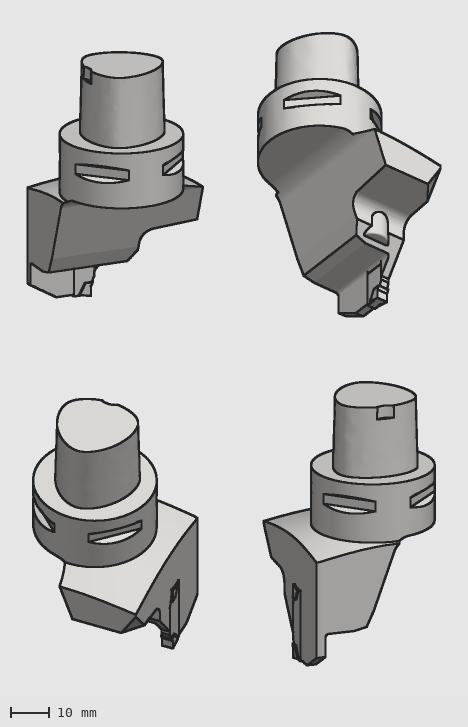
import cadquery as cq
import math


shank_height = 19.0
shank_mean_radius = 11.0
shank_taper = 0.5
shank_lobe = 0.725
shank_curve_points = 36
key_radius = 8.5 / 2
key_depth_z = 3.3
key_inner_y = -9.0

collar_radius = 32.0 / 2
collar_height = 15.9
groove_flat_distance = 14.2
groove_center_z = -6.0
groove_floor_width = 2.6
groove_mouth_width = 4.55
groove_count = 4

head_left = -21.6
head_front = -17.1
head_back = 23.25
roof_angle = 15.0
cone_radius = 41.4
under_collar_z = -15.0
neck_radius = 5.0
flank_end = (-5.85, -33.6)
flank_slope = 70.0
flank_toe = (-7.9, -37.9)
head_floor_z = -38.65
head_floor_right = -11.3
blade_thickness = 2.4
blade_fillet = 0.9
head_bottom = -49.1
corner_chamfer_x = 1.1
corner_chamfer_y = 0.3
back_chamfer_depth = 4.15
back_chamfer_top_z = -20.85
back_chamfer_bottom_y = 17.95
back_floor_z = -27.75
back_floor_inner = (10.6, -28.7)
back_notch_y = 7.6
back_notch_arc_middle = (8.55, -29.8)
back_notch_top_z = -32.1
back_notch_bottom_z = -34.7
back_slope_end_z = -43.5
nose_y = -9.7
nose_front_z = -44.8

boss_radius = 8.5 / 2
boss_x = -13.8
boss_back_y = 8.5
boss_bottom_z = -37.25
boss_fillet = 0.5
boss_height = 13.8

insert_bottom = shank_height - 69.0
insert_top = -30.0
insert_front = -4.7
insert_back = 1.1
insert_tip_y = 0.0
insert_end_relief = 0.4
tip_length = 2.6
tip_shoulder_length = 5.4
cutter_overhang = 0.35
cutter_height = 3.7
cutter_root_y = -1.6
cutter_end_y = -3.25
cutter_relief = 0.7
cutter_back_y = 0.5

FAR = 55.2


def shank_point(mean_radius, angle):
    """Point of a three-lobed curve of constant width, one lobe toward +Y."""
    phase = 3 * (angle - math.pi / 2)
    support = mean_radius + shank_lobe * math.cos(phase)
    slope = -3 * shank_lobe * math.sin(phase)
    x = support * math.cos(angle) - slope * math.sin(angle)
    y = support * math.sin(angle) + slope * math.cos(angle)
    return (x, y)


def shank_points(mean_radius):
    step = 2 * math.pi / shank_curve_points
    return [shank_point(mean_radius, i * step) for i in range(shank_curve_points)]


def make_shank():
    shank = (
        cq.Workplane("XY")
        .spline(shank_points(shank_mean_radius), periodic=True).close()
        .workplane(offset=shank_height)
        .spline(shank_points(shank_mean_radius - shank_taper), periodic=True).close()
        .loft(ruled=True)
    )
    key = (
        cq.Workplane("XY", origin=(0, 0, shank_height - key_depth_z))
        .center(0, key_inner_y - key_radius)
        .circle(key_radius)
        .extrude(key_depth_z)
    )
    return shank.cut(key)


def make_groove(angle):
    """Straight groove with sloping walls, cut across the collar rim at an angle."""
    depth = collar_radius - groove_flat_distance
    wall_slope = (groove_mouth_width - groove_floor_width) / 2 / depth
    reach = 2 * depth
    outer_half = groove_floor_width / 2 + wall_slope * reach
    floor_half = groove_floor_width / 2
    return (
        cq.Workplane("XZ")
        .polyline([
            (groove_flat_distance, groove_center_z - floor_half),
            (groove_flat_distance, groove_center_z + floor_half),
            (groove_flat_distance + reach, groove_center_z + outer_half),
            (groove_flat_distance + reach, groove_center_z - outer_half),
        ])
        .close()
        .extrude(collar_radius, both=True)
        .rotate((0, 0, 0), (0, 0, 1), angle)
    )


def make_collar():
    collar = cq.Workplane("XY").circle(collar_radius).extrude(-collar_height)
    for i in range(groove_count):
        collar = collar.cut(make_groove(45 + i * 360 / groove_count))
    return collar


def make_front_outline():
    """Prism along Y that bounds collar and head: neck, flank, floor and blade."""
    slope = math.radians(flank_slope)
    corner_x = flank_end[0] + (under_collar_z - flank_end[1]) / math.tan(slope)
    tangent = neck_radius * math.tan(slope / 2)
    arc_start = (corner_x + tangent, under_collar_z)
    neck_center = (arc_start[0], under_collar_z - neck_radius)
    middle_angle = math.pi / 2 + slope / 2
    arc_middle = (
        neck_center[0] + neck_radius * math.cos(middle_angle),
        neck_center[1] + neck_radius * math.sin(middle_angle),
    )
    arc_end = (
        corner_x - tangent * math.cos(slope),
        under_collar_z - tangent * math.sin(slope),
    )
    blade_right = head_left + blade_thickness
    return (
        cq.Workplane("XZ")
        .moveTo(head_left, 0)
        .lineTo(collar_radius, 0)
        .lineTo(collar_radius, under_collar_z)
        .lineTo(*arc_start)
        .threePointArc(arc_middle, arc_end)
        .lineTo(*flank_end)
        .lineTo(*flank_toe)
        .lineTo(head_floor_right, head_floor_z)
        .lineTo(blade_right + blade_fillet, head_floor_z)
        .radiusArc((blade_right, head_floor_z - blade_fillet), -blade_fillet)
        .lineTo(blade_right, head_bottom)
        .lineTo(head_left, head_bottom)
        .close()
        .extrude(FAR, both=True)
    )


def make_side_outline():
    """Prism along X with the side outline of the head."""
    return (
        cq.Workplane("YZ", origin=(head_left, 0, 0))
        .moveTo(head_front, -collar_height)
        .lineTo(head_back, -collar_height)
        .lineTo(head_back, back_floor_z)
        .lineTo(*back_floor_inner)
        .threePointArc(back_notch_arc_middle, (back_notch_y, back_notch_top_z))
        .lineTo(back_notch_y, back_notch_bottom_z)
        .lineTo(insert_back, back_slope_end_z)
        .lineTo(insert_front, head_bottom)
        .lineTo(nose_y, head_bottom)
        .lineTo(head_front, nose_front_z)
        .close()
        .extrude(FAR)
    )


def make_plan_outline():
    """Prism along Z: bevelled left corner, and a round front corner at the right."""
    round_radius = -head_front
    return (
        cq.Workplane("XY", origin=(0, 0, insert_bottom))
        .moveTo(head_left, head_back)
        .lineTo(head_left, head_front + corner_chamfer_y)
        .lineTo(head_left + corner_chamfer_x, head_front)
        .lineTo(0, head_front)
        .radiusArc((round_radius, 0), -round_radius)
        .lineTo(round_radius, head_back)
        .close()
        .extrude(-insert_bottom)
    )


def make_roof_cone():
    """Solid under the conical roof that starts at the lower rim of the collar."""
    drop = (cone_radius - collar_radius) * math.tan(math.radians(roof_angle))
    return (
        cq.Workplane("XZ")
        .polyline([
            (0, -collar_height),
            (collar_radius, -collar_height),
            (cone_radius, -collar_height - drop),
            (cone_radius, insert_bottom),
            (0, insert_bottom),
        ])
        .close()
        .revolve(360, (0, 0, 0), (0, 1, 0))
    )


def make_back_chamfer():
    """Wedge that bevels the lower back corner of the left face."""
    edge_y = head_back - back_chamfer_bottom_y
    edge_z = back_chamfer_top_z - back_floor_z
    extra_z = 0.7
    stretch = (edge_z + extra_z) / edge_z
    corner = cq.Vector(head_left, head_back, back_floor_z - extra_z)
    top = cq.Vector(head_left, head_back, back_chamfer_top_z)
    side = corner - cq.Vector(0, edge_y * stretch, 0)
    inner = corner + cq.Vector(back_chamfer_depth * stretch, 0, 0)
    triangles = [
        (corner, top, side),
        (corner, side, inner),
        (corner, inner, top),
        (top, inner, side),
    ]
    faces = [cq.Face.makeFromWires(cq.Wire.makePolygon(t, close=True)) for t in triangles]
    return cq.Workplane(cq.Solid.makeSolid(cq.Shell.makeShell(faces)))


def make_boss():
    return (
        cq.Workplane("XY", origin=(boss_x, boss_back_y - boss_radius, boss_bottom_z))
        .circle(boss_radius)
        .extrude(boss_height)
        .faces("<Z").edges().fillet(boss_fillet)
    )


def make_insert():
    """Double-ended insert: a flush bar with a wider cutter at each end."""
    middle_z = (insert_top + insert_bottom) / 2
    tip_z = insert_top - tip_length
    shoulder_z = insert_top - tip_shoulder_length
    upper_bar = (
        cq.Workplane("YZ", origin=(head_left, 0, 0))
        .polyline([
            (insert_front, middle_z),
            (insert_front, insert_top - insert_end_relief),
            (insert_tip_y, insert_top - insert_end_relief),
            (insert_tip_y, tip_z),
            (insert_back, shoulder_z),
            (insert_back, middle_z),
        ])
        .close()
        .extrude(blade_thickness)
    )
    upper_cutter = (
        cq.Workplane("YZ", origin=(head_left - cutter_overhang, 0, 0))
        .polyline([
            (insert_tip_y, insert_top),
            (cutter_end_y, insert_top - cutter_relief),
            (cutter_root_y, insert_top - cutter_height),
            (cutter_back_y, insert_top - cutter_height),
            (insert_tip_y, tip_z),
        ])
        .close()
        .extrude(blade_thickness + 2 * cutter_overhang)
    )
    upper_half = upper_bar.union(upper_cutter)
    lower_half = upper_half.mirror("XY", (0, 0, middle_z))
    return upper_half.union(lower_half).clean()


def make_holder(insert):
    front_outline = make_front_outline()
    head = make_side_outline().intersect(make_plan_outline())
    head = head.intersect(make_roof_cone())
    head = head.cut(make_back_chamfer()).intersect(front_outline)
    collar = make_collar().intersect(front_outline)
    return head.union(make_boss()).union(collar).union(make_shank()).cut(insert)


insert = make_insert()
holder = make_holder(insert)
result = cq.Compound.makeCompound([*holder.solids().vals(), *insert.solids().vals()])